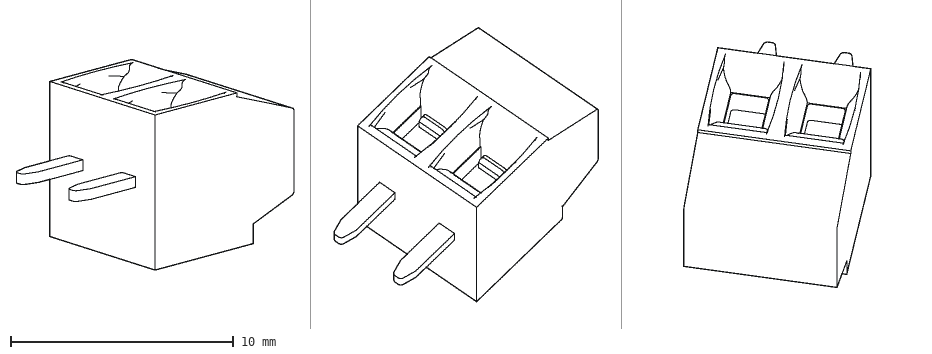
import cadquery as cq
import math


width = 7.0
height = 7.3
total_length = 12
pin_length = 3.5
body_length = total_length - pin_length
top_length = 5.0
base_length = 6
nose_bottom = 1.84
nose_top = 5.85
nose_slope = math.radians(20)
nose_radius = 0.2

pole_count = 2
pitch = width / pole_count

pin_width = 0.9
pin_thickness = 0.5
pin_center_z = 3.85
pin_taper_length = 0.8
pin_tip_width = 0.47
pin_tip_radius = 0.2

mouth_front = 0.3
mouth_back = 4.7
mouth_width = 2.95
mouth_bulge = 0.15
throat_front = 1.39
throat_back = 3.4
throat_width = 1.8
throat_depth = 1.32
shoulder_radius = 0.5
end_slope = math.radians(30)
end_lip_radius = 0.2
end_cove_radius = 0.2
side_slope = math.radians(37)

chamber_ledge = 0.04
chamber_corner_radius = 0.15
chamber_depth = 2.42

tab_width = 1.4
tab_depth = 1.7
tab_top_length = 0.15
tab_length = 0.34
tab_bevel_slope = math.radians(60)
tab_corner_radius = 0.22

throat_z = height - throat_depth
throat_length = throat_back - throat_front
throat_center_y = (throat_front + throat_back) / 2
chamber_floor_z = height - chamber_depth


def make_housing():
    nose_top_rise = (body_length - top_length) * math.tan(nose_slope)
    nose_bottom_drop = (body_length - base_length) * math.tan(nose_slope)
    outline = [
        (0, 0),
        (base_length, 0),
        (base_length, nose_bottom - nose_bottom_drop),
        (body_length, nose_bottom),
        (body_length, nose_top),
        (top_length, nose_top + nose_top_rise),
        (top_length, height),
        (0, height),
    ]
    housing = cq.Workplane("YZ").polyline(outline).close().extrude(width / 2, both=True)
    return housing.edges("|X and >Y").fillet(nose_radius)


def make_pin(center_x):
    half_width = pin_width / 2
    half_tip = pin_tip_width / 2
    taper_start = pin_taper_length - pin_length
    outline = [
        (-half_width, 0),
        (-half_width, taper_start),
        (-half_tip, -pin_length),
        (half_tip, -pin_length),
        (half_width, taper_start),
        (half_width, 0),
    ]
    pin = (
        cq.Workplane("XY", origin=(center_x, 0, pin_center_z))
        .polyline(outline)
        .close()
        .extrude(pin_thickness / 2, both=True)
    )
    return pin.edges("|Z and <Y").fillet(pin_tip_radius)


def arc_to(path, center, radius, start, end, outward):
    """Add an arc from angle start to angle end, mirrored when outward is -1."""
    points = [
        (outward * (center[0] + radius * math.cos(angle)), center[1] + radius * math.sin(angle))
        for angle in ((start + end) / 2, end)
    ]
    return path.threePointArc(*points)


def flared_half(plane, throat, mouth, slope, lip_radius, outward, cove_radius=None):
    """Half of a funnel section, from the throat centre out to one flared wall.

    From below, the upright throat wall rounds over a shoulder into a slope.
    A cove turns the slope upright again, and a lip rounds out to the top.
    Without a given cove radius, the cove starts right at the shoulder.
    """
    flatness = 1 - math.sin(slope)
    upright = mouth - lip_radius
    shoulder_end = throat + shoulder_radius * flatness
    has_straight_slope = cove_radius is not None
    if not has_straight_slope:
        cove_radius = (upright - shoulder_end) / flatness
    cove_start = upright - cove_radius * flatness
    shoulder_end_z = throat_z + shoulder_radius * math.cos(slope)
    cove_start_z = shoulder_end_z + (cove_start - shoulder_end) * math.tan(slope)
    cove_end_z = cove_start_z + cove_radius * math.cos(slope)

    path = plane.moveTo(0, throat_z).lineTo(outward * throat, throat_z)
    shoulder_center = (throat + shoulder_radius, throat_z)
    path = arc_to(path, shoulder_center, shoulder_radius, math.pi, math.pi / 2 + slope, outward)
    if has_straight_slope:
        path = path.lineTo(outward * cove_start, cove_start_z)
    cove_center = (upright - cove_radius, cove_end_z)
    path = arc_to(path, cove_center, cove_radius, slope - math.pi / 2, 0, outward)
    path = path.lineTo(outward * upright, height - lip_radius)
    if lip_radius > 0:
        path = arc_to(path, (mouth, height - lip_radius), lip_radius, math.pi, math.pi / 2, outward)
    return path.lineTo(0, height).close().extrude(pitch, both=True)


def make_funnel(center_x):
    center = (center_x, throat_center_y, 0)
    end_plane = cq.Workplane("YZ", origin=center)
    side_plane = cq.Workplane("XZ", origin=center)
    half_length = throat_length / 2
    half_throat = throat_width / 2
    half_mouth = mouth_width / 2

    mouth_ahead = throat_center_y - mouth_front
    mouth_behind = mouth_back - throat_center_y
    front = flared_half(
        end_plane, half_length, mouth_ahead, end_slope, end_lip_radius, -1, end_cove_radius
    )
    back = flared_half(
        end_plane, half_length, mouth_behind, end_slope, end_lip_radius, 1, end_cove_radius
    )
    left = flared_half(side_plane, half_throat, half_mouth, side_slope, 0, -1)
    right = flared_half(side_plane, half_throat, half_mouth, side_slope, 0, 1)

    half_end = half_mouth - mouth_bulge
    mouth_center_y = (mouth_front + mouth_back) / 2
    bowed = (
        cq.Workplane("XY", origin=(center_x, 0, throat_z))
        .moveTo(-half_end, mouth_front)
        .lineTo(half_end, mouth_front)
        .threePointArc((half_mouth, mouth_center_y), (half_end, mouth_back))
        .lineTo(-half_end, mouth_back)
        .threePointArc((-half_mouth, mouth_center_y), (-half_end, mouth_front))
        .close()
        .extrude(throat_depth)
    )
    return front.union(back).intersect(left.union(right)).intersect(bowed)


def make_chamber(center_x):
    front = throat_front + chamber_ledge
    length = throat_back - front
    chamber = (
        cq.Workplane("XY", origin=(center_x, front + length / 2, chamber_floor_z))
        .rect(throat_width - 2 * chamber_ledge, length)
        .extrude(throat_z - chamber_floor_z)
    )
    return chamber.edges("|Z and <Y").fillet(chamber_corner_radius)


def make_tab(center_x):
    """Tab with a flat top, a bevelled front edge and an upright front down to the floor."""
    tab_top_z = height - tab_depth
    bevel_drop = (tab_length - tab_top_length) * math.tan(tab_bevel_slope)
    outline = [
        (throat_back, chamber_floor_z),
        (throat_back - tab_length, chamber_floor_z),
        (throat_back - tab_length, tab_top_z - bevel_drop),
        (throat_back - tab_top_length, tab_top_z),
        (throat_back, tab_top_z),
    ]
    tab = (
        cq.Workplane("YZ", origin=(center_x, 0, 0))
        .polyline(outline)
        .close()
        .extrude(tab_width / 2, both=True)
    )
    return tab.edges("|Y and >Z").fillet(tab_corner_radius)


result = make_housing()
for pole in range(pole_count):
    pole_x = (pole - (pole_count - 1) / 2) * pitch
    result = result.cut(make_funnel(pole_x)).cut(make_chamber(pole_x))
    result = result.union(make_tab(pole_x)).union(make_pin(pole_x))